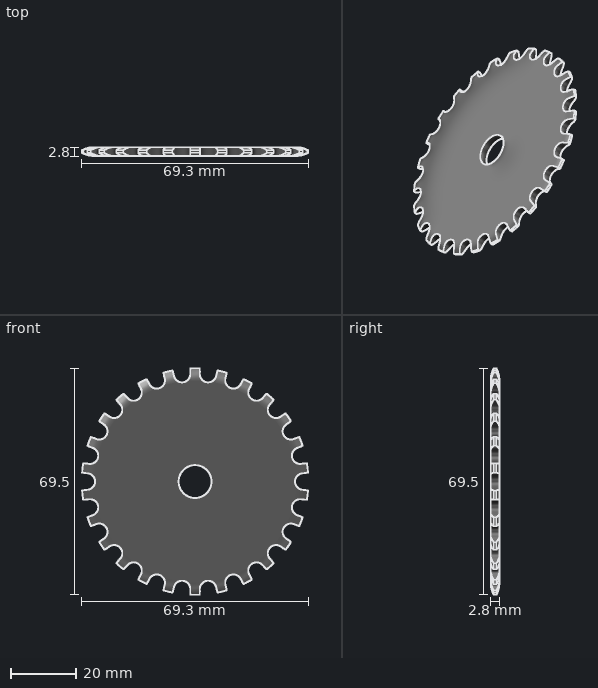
import cadquery as cq
import math

tooth_count = 26
tip_radius = 34.75
face_radius = 30.9
thickness = 2.8
bore_diameter = 10.0
chain_pitch = 8.0
seat_radius = 2.5
seat_half_angle = math.radians(87)
flank_radius = 7.65
rim_clearance = 0.35

tooth_angle = 360.0 / tooth_count
pitch_radius = chain_pitch / (2 * math.sin(math.pi / tooth_count))
half_thickness = thickness / 2
side_radius = chain_pitch
side_sweep = math.asin((tip_radius - face_radius) / side_radius)


def tooth_side_point(sweep):
    """Radius and half thickness on the tooth side, at an arc angle from the flat face."""
    radius = face_radius + side_radius * math.sin(sweep)
    half_width = half_thickness - side_radius * (1 - math.cos(sweep))
    return radius, half_width


def mirrored(point):
    """Same point on the other side of the first axis."""
    return point[0], -point[1]


def make_blank():
    """Disc with a rounded rim and a bore, turned about the Y axis."""
    bore_radius = bore_diameter / 2
    side_middle = tooth_side_point(side_sweep / 2)
    side_tip = tooth_side_point(side_sweep)
    return (
        cq.Workplane("XY")
        .moveTo(bore_radius, -half_thickness)
        .lineTo(face_radius, -half_thickness)
        .threePointArc(mirrored(side_middle), mirrored(side_tip))
        .lineTo(*side_tip)
        .threePointArc(side_middle, (face_radius, half_thickness))
        .lineTo(bore_radius, half_thickness)
        .close()
        .revolve(360, (0, 0, 0), (0, 1, 0))
    )


def make_gap(angle):
    """Cutter for one tooth gap: a round roller seat that flares open to the rim."""
    seat_bottom = (pitch_radius - seat_radius, 0)
    seat_end = (
        pitch_radius - seat_radius * math.cos(seat_half_angle),
        seat_radius * math.sin(seat_half_angle),
    )

    centre_distance = seat_radius + flank_radius
    flank_centre_x = pitch_radius - centre_distance * math.cos(seat_half_angle)
    flank_centre_y = centre_distance * math.sin(seat_half_angle)

    def flank_point(direction):
        x = flank_centre_x + flank_radius * math.cos(direction)
        y = flank_centre_y - flank_radius * math.sin(direction)
        return x, y

    end_direction = math.acos((tip_radius + rim_clearance - flank_centre_x) / flank_radius)
    flank_middle = flank_point((seat_half_angle + end_direction) / 2)
    flank_end = flank_point(end_direction)

    return (
        cq.Workplane("XZ")
        .transformed(rotate=(0, 0, angle))
        .moveTo(*mirrored(seat_end))
        .threePointArc(seat_bottom, seat_end)
        .threePointArc(flank_middle, flank_end)
        .lineTo(*mirrored(flank_end))
        .threePointArc(mirrored(flank_middle), mirrored(seat_end))
        .close()
        .extrude(half_thickness, both=True)
    )


result = make_blank()
for index in range(tooth_count):
    result = result.cut(make_gap(index * tooth_angle))